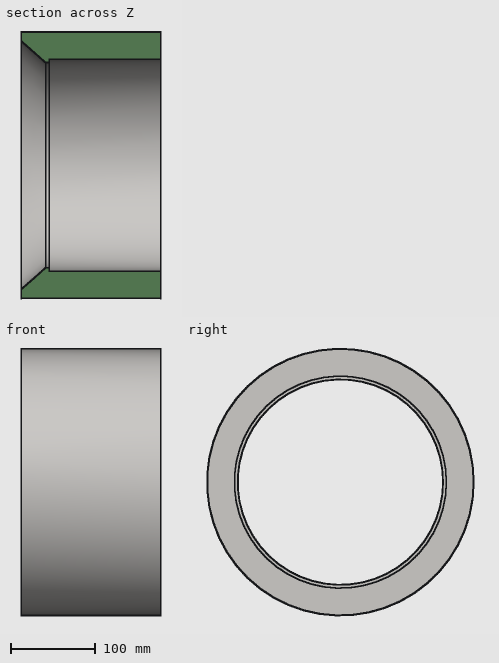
import cadquery as cq

outer_diameter = 315.0
width = 165.0
mouth_diameter = 293.3
neck_diameter = 242.0
exit_diameter = 250.0
cone_depth = 29.0
neck_length = 4.5
edge_chamfer = 0.5

outer_radius = outer_diameter / 2
mouth_radius = mouth_diameter / 2
neck_radius = neck_diameter / 2
exit_radius = exit_diameter / 2
front_x = -width / 2
back_x = width / 2
neck_start_x = front_x + cone_depth
neck_end_x = neck_start_x + neck_length

profile = (
    cq.Workplane("XY")
    .moveTo(front_x, mouth_radius)
    .lineTo(neck_start_x, neck_radius)
    .lineTo(neck_end_x, neck_radius)
    .lineTo(neck_end_x, exit_radius)
    .lineTo(back_x, exit_radius)
    .lineTo(back_x, outer_radius - edge_chamfer)
    .lineTo(back_x - edge_chamfer, outer_radius)
    .lineTo(front_x + edge_chamfer, outer_radius)
    .lineTo(front_x, outer_radius - edge_chamfer)
    .close()
)

result = profile.revolve(360, (0, 0, 0), (1, 0, 0))